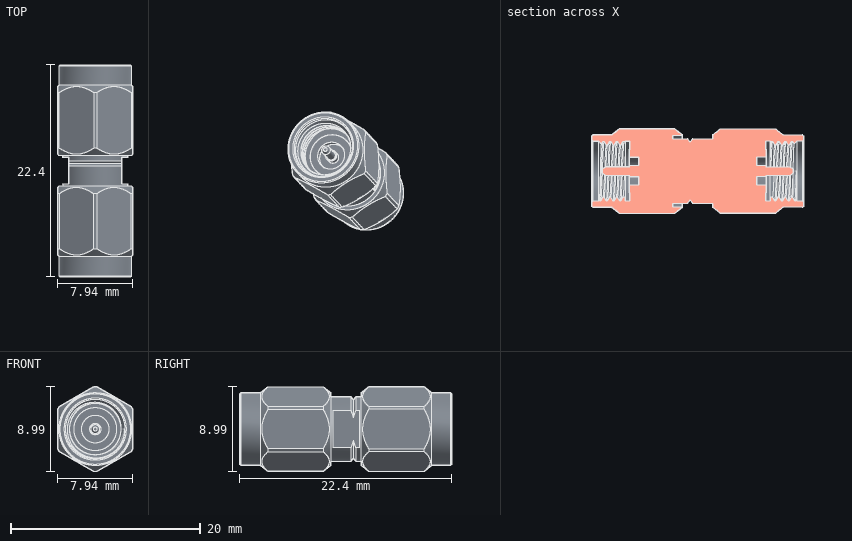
import cadquery as cq
import math


LENGTH = 22.43
END_Y = LENGTH / 2
NECK_MIDDLE_Y = 0.03

HEX_ACROSS_FLATS = 7.94
HEX_SIDES = 6
FRONT_HEX_CORNER_RADIUS = 4.475
BACK_HEX_CORNER_RADIUS = 4.495
HEX_LENGTH = 7.46
HEX_CHAMFER_LENGTH = 0.8
COLLAR_RADIUS = 3.85
COLLAR_EDGE_CHAMFER = 0.12
BACK_CLEARANCE_RADIUS = 3.76
BACK_CLEARANCE_DEPTH = 1.0
NECK_LENGTH = 3.21

MOUTH_RADIUS = 3.29
MOUTH_CHAMFER = 0.12
RELIEF_RADIUS = 3.15
RELIEF_LENGTH = 0.72
BORE_RADIUS = 2.72
THREAD_END_DEPTH = 3.55
FLOOR_DEPTH = 4.0

THREAD_PITCH = 25.4 / 36
THREAD_ROOT_RADIUS = 3.12
THREAD_HALF_ANGLE = 30
THREAD_ROOT_FLAT = 0.12
THREAD_OVERLAP = 0.05

OUTER_CONDUCTOR_RADIUS = 2.27
OUTER_CONDUCTOR_BORE_RADIUS = 1.46
OUTER_CONDUCTOR_PROJECTION = 0.05
AIR_GAP_DEPTH = 1.0
CENTRE_CONDUCTOR_RADIUS = 0.6
PIN_RADIUS = 0.47
PIN_TIP_RADIUS = 0.2
PIN_TIP_LENGTH = 0.3
PIN_RECESS = 1.1

NECK_RADIUS = 3.44
FLATS_ACROSS = 5.65
FLATS_LENGTH = 2.8
FLATS_MIDDLE_Y = 0.06
GROOVE_Y = 0.81
GROOVE_WIDTH = 0.5
GROOVE_DEPTH = 0.36


def cylinder(radius, start, end):
    """Cylinder on the Y axis between two Y positions."""
    return cq.Workplane("XZ", origin=(0, start, 0)).circle(radius).extrude(start - end)


def turned(points):
    """Solid of revolution about the Y axis from (radius, y) points."""
    return cq.Workplane("XY").polyline(points).close().revolve(360, (0, 0), (0, 1))


def hexagon(inner_end, outer_end, corner_radius):
    """Hex prism with corners on +Z and -Z, turned to its corner radius and chamfered at both ends."""
    circumscribed_diameter = HEX_ACROSS_FLATS / math.cos(math.pi / HEX_SIDES)
    prism = (
        cq.Workplane("XZ", origin=(0, inner_end, 0))
        .transformed(rotate=(0, 0, 90))
        .polygon(HEX_SIDES, circumscribed_diameter)
        .extrude(inner_end - outer_end)
    )
    envelope = turned(
        [
            (0, inner_end),
            (COLLAR_RADIUS, inner_end),
            (corner_radius, inner_end - HEX_CHAMFER_LENGTH),
            (corner_radius, outer_end + HEX_CHAMFER_LENGTH),
            (COLLAR_RADIUS, outer_end),
            (0, outer_end),
        ]
    )
    return prism.intersect(envelope)


def thread_groove(start, length):
    """Helical V groove running from `start` toward +Y."""
    flank = (THREAD_ROOT_RADIUS - BORE_RADIUS + THREAD_OVERLAP) * math.tan(math.radians(THREAD_HALF_ANGLE))
    root_half = THREAD_ROOT_FLAT / 2
    crest_half = root_half + flank
    inner_radius = BORE_RADIUS - THREAD_OVERLAP
    helix = cq.Wire.makeHelix(THREAD_PITCH, length, BORE_RADIUS)
    groove = (
        cq.Workplane("XZ")
        .polyline(
            [
                (inner_radius, -crest_half),
                (THREAD_ROOT_RADIUS, -root_half),
                (THREAD_ROOT_RADIUS, root_half),
                (inner_radius, crest_half),
            ]
        )
        .close()
        .sweep(cq.Workplane(obj=helix), isFrenet=True)
    )
    return groove.rotate((0, 0, 0), (1, 0, 0), -90).translate((0, start, 0))


def coupling_end(corner_radius, hex_inner_y):
    """Nut with its coaxial interface, opening toward -Y."""
    mouth_y = -END_Y
    hex_outer_y = hex_inner_y - HEX_LENGTH
    relief_y = mouth_y + RELIEF_LENGTH
    thread_y = relief_y + RELIEF_RADIUS - BORE_RADIUS
    thread_end_y = mouth_y + THREAD_END_DEPTH
    floor_y = mouth_y + FLOOR_DEPTH
    conductor_y = floor_y - OUTER_CONDUCTOR_PROJECTION

    collar = cylinder(COLLAR_RADIUS, mouth_y, hex_inner_y).faces("<Y").chamfer(COLLAR_EDGE_CHAMFER)
    nut = hexagon(hex_inner_y, hex_outer_y, corner_radius).union(collar)

    bore = turned(
        [
            (0, mouth_y),
            (MOUTH_RADIUS, mouth_y),
            (RELIEF_RADIUS, mouth_y + MOUTH_CHAMFER),
            (RELIEF_RADIUS, relief_y),
            (BORE_RADIUS, thread_y),
            (BORE_RADIUS, thread_end_y),
            (RELIEF_RADIUS, thread_end_y),
            (RELIEF_RADIUS, floor_y),
            (0, floor_y),
        ]
    )
    nut = nut.cut(bore).cut(thread_groove(relief_y, thread_end_y - relief_y))

    outer_conductor = cylinder(OUTER_CONDUCTOR_RADIUS, floor_y, conductor_y)
    air_gap_floor_y = conductor_y + AIR_GAP_DEPTH
    air_gap = cylinder(OUTER_CONDUCTOR_BORE_RADIUS, conductor_y, air_gap_floor_y)
    pin_tip_y = mouth_y + PIN_RECESS
    centre_conductor = turned(
        [
            (0, air_gap_floor_y),
            (CENTRE_CONDUCTOR_RADIUS, air_gap_floor_y),
            (CENTRE_CONDUCTOR_RADIUS, conductor_y),
            (PIN_RADIUS, conductor_y),
            (PIN_RADIUS, pin_tip_y + PIN_TIP_LENGTH),
            (PIN_TIP_RADIUS, pin_tip_y),
            (0, pin_tip_y),
        ]
    )
    return nut.union(outer_conductor).cut(air_gap).union(centre_conductor)


def neck(front_y, back_y):
    """Round neck with two flats facing -X and +X and a V groove all round."""
    body = cylinder(NECK_RADIUS, front_y, back_y)
    flat_depth = NECK_RADIUS - FLATS_ACROSS / 2
    for side in (-1, 1):
        flat_cut = cq.Workplane("XY").box(flat_depth, FLATS_LENGTH, 2 * NECK_RADIUS)
        body = body.cut(flat_cut.translate((side * (FLATS_ACROSS + flat_depth) / 2, FLATS_MIDDLE_Y, 0)))
    groove = turned(
        [
            (NECK_RADIUS, GROOVE_Y - GROOVE_WIDTH / 2),
            (NECK_RADIUS - GROOVE_DEPTH, GROOVE_Y),
            (NECK_RADIUS, GROOVE_Y + GROOVE_WIDTH / 2),
        ]
    )
    return body.cut(groove)


front_hex_y = NECK_MIDDLE_Y - NECK_LENGTH / 2
back_hex_y = NECK_MIDDLE_Y + NECK_LENGTH / 2

front_end = coupling_end(FRONT_HEX_CORNER_RADIUS, front_hex_y)
back_end = coupling_end(BACK_HEX_CORNER_RADIUS, -back_hex_y).rotate((0, 0, 0), (0, 0, 1), 180)

clearance_floor_y = back_hex_y + BACK_CLEARANCE_DEPTH
back_end = back_end.cut(cylinder(BACK_CLEARANCE_RADIUS, back_hex_y, clearance_floor_y))

result = neck(front_hex_y, clearance_floor_y).union(front_end).union(back_end)